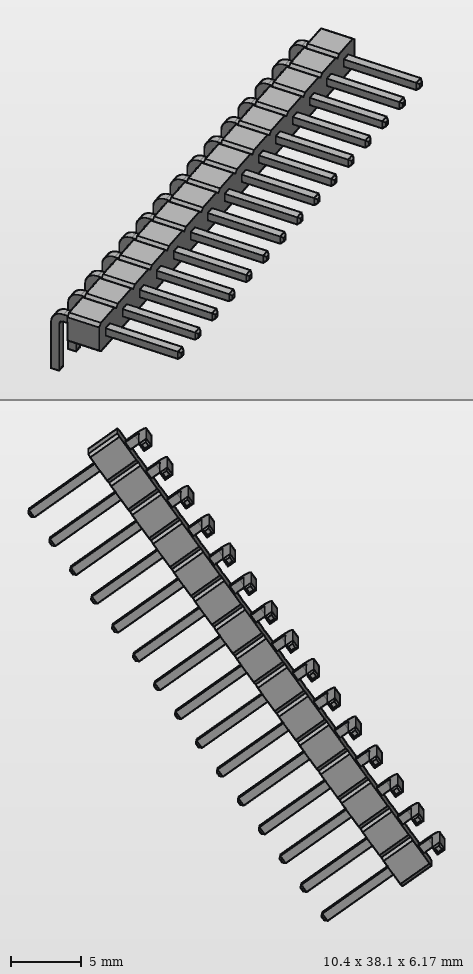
import cadquery as cq

pin_count = 15
row_length = 38.1
total_width = 10.35
total_height = 6.17
pitch = row_length / pin_count
housing_side = pitch
housing_offset = 1.83
corner_chamfer = 0.25
pin_size = 0.65
bend_inner_radius = 0.35
tip_inset = 0.15
mating_tip_length = 0.2
solder_tip_length = 0.1

half_pin = pin_size / 2
bend_radius = bend_inner_radius + half_pin
solder_end_z = housing_side / 2 - total_height
tip_size = pin_size - 2 * tip_inset


def make_segment(y):
    """One housing block with its four edges along X bevelled."""
    block = cq.Workplane("XY").box(housing_side, pitch, housing_side)
    block = block.edges("|X").chamfer(corner_chamfer)
    return block.translate((housing_offset + housing_side / 2, y, 0))


def make_tip(plane, length):
    """Tapered square end growing out of the given plane."""
    return (
        cq.Workplane(plane)
        .rect(pin_size, pin_size)
        .workplane(offset=length)
        .rect(tip_size, tip_size)
        .loft(ruled=True)
    )


def make_pin():
    """Bent square pin in the plane Y = 0 with tapered ends."""
    leg_end_z = solder_end_z + solder_tip_length
    shaft_end_x = total_width - mating_tip_length
    bend_end_x = half_pin + bend_radius
    path = (
        cq.Workplane("XZ")
        .moveTo(half_pin, leg_end_z)
        .lineTo(half_pin, -bend_radius)
        .radiusArc((bend_end_x, 0), bend_radius)
        .lineTo(shaft_end_x, 0)
    )
    leg_start = cq.Plane(origin=(half_pin, 0, leg_end_z), xDir=(1, 0, 0), normal=(0, 0, 1))
    shaft = cq.Workplane(leg_start).rect(pin_size, pin_size).sweep(path)

    solder_plane = cq.Plane(origin=(half_pin, 0, leg_end_z), xDir=(1, 0, 0), normal=(0, 0, -1))
    mating_plane = cq.Plane(origin=(shaft_end_x, 0, 0), xDir=(0, 1, 0), normal=(1, 0, 0))
    solder_tip = make_tip(solder_plane, solder_tip_length)
    mating_tip = make_tip(mating_plane, mating_tip_length)
    return shaft.union(solder_tip).union(mating_tip)


pin = make_pin()
pin_places = [(i - (pin_count - 1) / 2) * pitch for i in range(pin_count)]
result = make_segment(pin_places[0])
for y in pin_places[1:]:
    result = result.union(make_segment(y))
for y in pin_places:
    result = result.union(pin.translate((0, y, 0)))